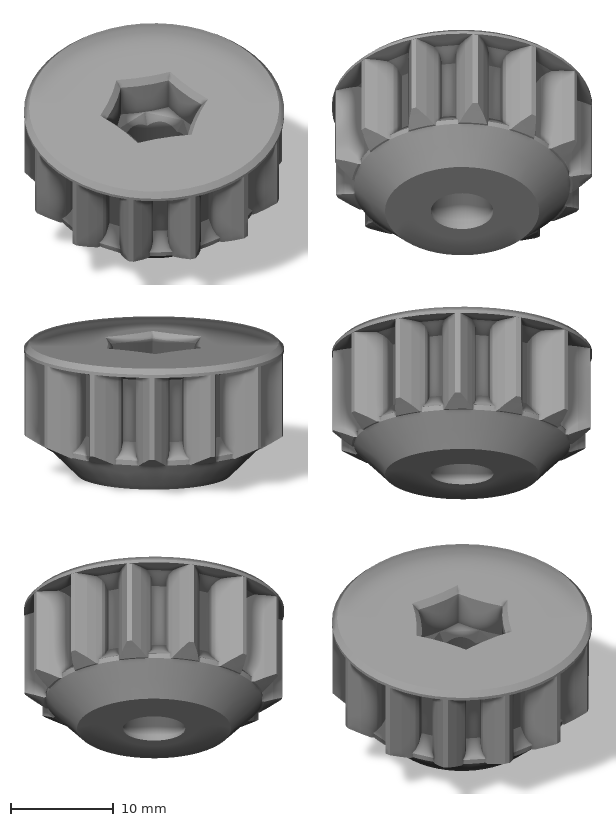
import cadquery as cq
import math

height = 13.0
flange_radius = 12.65
flange_thickness = 0.8
flange_chamfer = 0.5

cone_bottom_radius = 7.5
cone_height = 3.0
cone_top_radius = cone_bottom_radius + cone_height

tooth_count = 13
half_pitch = 180 / tooth_count
tooth_tip_radius = 12.6
tooth_chamfer_height = 1.04
tooth_chamfer_inner_radius = 10.73
tooth_tip_half_width = 0.25
flange_underside = height - flange_thickness

groove_floor_radius = 9.0
groove_lip_height = 0.5
groove_top_slope_height = 0.99
groove_top_slope_radius = 10.68
groove_floor_half_width = 0.73
groove_flare_points = [(9.77, groove_floor_half_width), (10.2, 0.89), (10.7, 1.26), (11.44, 1.87)]
outside = flange_radius + 1.26

hex_sides = 6
hex_pitch = 360 / hex_sides

socket_corner_radius = 4.75
socket_side_bow = 0.18
socket_depth = 4.1
socket_chamfer = 0.6

seat_top_corner_radius = 3.9
seat_depth = 1.0
hole_radius = 3.04


def polar(radius, degrees):
    angle = math.radians(degrees)
    return (radius * math.cos(angle), radius * math.sin(angle))


def revolved(points):
    """Turn an outline of (radius, z) points about the Z axis."""
    return cq.Workplane("XZ").polyline(points).close().revolve(360, (0, 0, 0), (0, 1, 0))


def make_blank():
    """Solid of revolution before the teeth and socket are cut."""
    return revolved([
        (0, 0),
        (cone_bottom_radius, 0),
        (cone_top_radius, cone_height),
        (tooth_chamfer_inner_radius, cone_height),
        (tooth_tip_radius, cone_height + tooth_chamfer_height),
        (tooth_tip_radius, flange_underside),
        (flange_radius, flange_underside),
        (flange_radius, height - flange_chamfer),
        (flange_radius - flange_chamfer, height),
        (0, height),
    ])


def make_groove():
    """One groove, opening along +X, running from the bottom cone up to the flange."""
    lip_top = cone_height + groove_lip_height

    tip_angle = half_pitch - math.degrees(math.asin(tooth_tip_half_width / tooth_tip_radius))
    tip_x, tip_y = polar(tooth_tip_radius, tip_angle)
    wall = [
        (groove_floor_radius, groove_floor_half_width),
        *groove_flare_points,
        (tip_x, tip_y),
        (outside, tip_y),
    ]
    mirrored_wall = [(x, -y) for x, y in reversed(wall)]
    plan = cq.Workplane("XY").polyline(wall + mirrored_wall).close().extrude(height)

    side = cq.Workplane("XZ").polyline([
        (cone_top_radius, lip_top),
        (groove_floor_radius, lip_top + cone_top_radius - groove_floor_radius),
        (groove_floor_radius, flange_underside - groove_top_slope_height),
        (groove_top_slope_radius, flange_underside),
        (outside, flange_underside),
        (outside, lip_top),
    ]).close().extrude(outside, both=True)

    rim = cq.Workplane("XY").workplane(offset=cone_height)
    rim = rim.circle(2 * outside).circle(cone_top_radius).extrude(groove_lip_height)
    return plan.intersect(side.union(rim))


def bowed_hexagon(plane, corner_radius):
    """Hexagon with two corners on the Y axis and sides bowed towards the centre."""
    half_side = hex_pitch / 2
    middle_radius = corner_radius * math.cos(math.radians(half_side)) - socket_side_bow
    outline = plane.moveTo(*polar(corner_radius, half_side))
    for side in range(hex_sides):
        middle_angle = (side + 1) * hex_pitch
        outline = outline.threePointArc(
            polar(middle_radius, middle_angle),
            polar(corner_radius, middle_angle + half_side),
        )
    return outline.close()


def make_socket():
    """Straight-walled socket with a chamfered mouth."""
    floor = cq.Workplane("XY").workplane(offset=height - socket_depth)
    walls = bowed_hexagon(floor, socket_corner_radius).extrude(socket_depth)
    chamfer_base = cq.Workplane("XY").workplane(offset=height - socket_chamfer)
    chamfer_bottom = bowed_hexagon(chamfer_base, socket_corner_radius)
    chamfer_top = chamfer_bottom.workplane(offset=socket_chamfer)
    mouth = bowed_hexagon(chamfer_top, socket_corner_radius + socket_chamfer).loft(ruled=True)
    return walls.union(mouth)


def make_seat():
    """Tapered hexagon that narrows until its corners meet the through hole."""
    seat = cq.Workplane("XY").workplane(offset=height - socket_depth)
    seat = seat.polygon(hex_sides, 2 * seat_top_corner_radius)
    seat = seat.workplane(offset=-seat_depth).polygon(hex_sides, 2 * hole_radius)
    return seat.loft(ruled=True)


def make_hole():
    return cq.Workplane("XY").circle(hole_radius).extrude(height)


result = make_blank()
groove = make_groove()
for index in range(tooth_count):
    result = result.cut(groove.rotate((0, 0, 0), (0, 0, 1), (2 * index + 1) * half_pitch))
result = result.cut(make_socket()).cut(make_seat()).cut(make_hole())